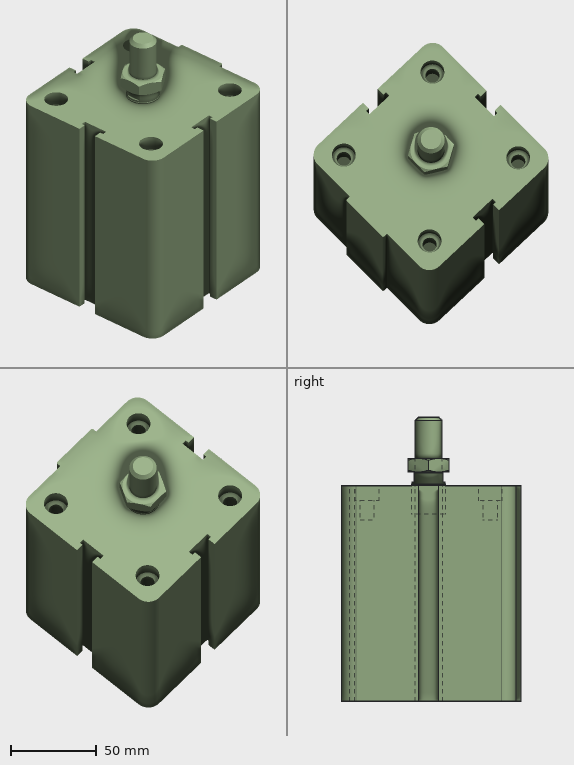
import cadquery as cq
import math

housing_width = 102.0
housing_height = 126.0
corner_radius = 8.5
ridge_width = 31.2
ridge_height = 3.2
ridge_edge_radius = 0.8

slot_mouth_width = 11.8
slot_inner_width = 16.1
slot_lip_depth = 4.8
slot_depth = 7.6
slot_angles = (0, 180, 270)

hole_pitch = 72.0
counterbore_diameter = 14.0
counterbore_depth = 8.6
pilot_diameter = 8.3
pilot_depth = 20.0

overall_height = 166.0
rod_diameter = 20.0
rod_step_height = 1.0
rod_seat_depth = 16.5
neck_diameter = 19.5
neck_height = 8.0
neck_chamfer = 0.5
flat_start = 2.2
flats_width = 17.0
thread_diameter = 16.0
thread_chamfer = 2.0

nut_sides = 6
nut_width = 24.0
nut_height = 8.0
nut_chamfer_angle = 30.0

rod_bottom = housing_height - rod_seat_depth
neck_top = housing_height + neck_height
half_width = housing_width / 2


def cylinder(diameter, bottom, top):
    return cq.Workplane("XY").workplane(offset=bottom).circle(diameter / 2).extrude(top - bottom)


def make_slot(angle):
    """T-slot cut on the +X side, turned about Z by the given angle."""
    mouth = cq.Workplane("XY").center(half_width - slot_lip_depth / 2, 0)
    mouth = mouth.rect(slot_lip_depth, slot_mouth_width).extrude(housing_height)
    inner_depth = slot_depth - slot_lip_depth
    inner = cq.Workplane("XY").center(half_width - slot_depth + inner_depth / 2, 0)
    inner = inner.rect(inner_depth, slot_inner_width).extrude(housing_height)
    return mouth.union(inner).rotate((0, 0, 0), (0, 0, 1), angle)


def make_housing():
    body = cq.Workplane("XY").rect(housing_width, housing_width).extrude(housing_height)
    body = body.edges("|Z").fillet(corner_radius)

    ridge = cq.Workplane("XY").center(0, half_width).rect(ridge_width, 2 * ridge_height)
    ridge = ridge.extrude(housing_height).edges("|Z and >Y").fillet(ridge_edge_radius)
    body = body.union(ridge)

    for angle in slot_angles:
        body = body.cut(make_slot(angle))

    hole_centres = body.faces(">Z").workplane(origin=(0, 0, housing_height))
    hole_centres = hole_centres.rect(hole_pitch, hole_pitch, forConstruction=True).vertices()
    body = hole_centres.cboreHole(pilot_diameter, counterbore_diameter, counterbore_depth, pilot_depth)

    return body.cut(cylinder(rod_diameter, rod_bottom, housing_height))


def make_rod():
    base = cylinder(rod_diameter, rod_bottom, housing_height + rod_step_height)
    step_chamfer = (rod_diameter - neck_diameter) / 2
    base = base.faces(">Z").chamfer(step_chamfer)

    neck = cylinder(neck_diameter, housing_height, neck_top)
    neck = neck.faces(">Z").chamfer(neck_chamfer)

    flats_height = neck_height - flat_start
    blank_width = 2 * rod_diameter
    flats = cq.Workplane("XY").workplane(offset=housing_height + flat_start)
    flats = flats.rect(blank_width, blank_width).rect(blank_width, flats_width).extrude(flats_height)
    neck = neck.cut(flats)

    thread = cylinder(thread_diameter, housing_height, overall_height)
    thread = thread.faces(">Z").chamfer(thread_chamfer)
    return base.union(neck).union(thread)


def make_nut():
    across_corners = nut_width / math.cos(math.pi / nut_sides)
    nut = cq.Workplane("XY").workplane(offset=neck_top).polygon(nut_sides, across_corners).extrude(nut_height)

    cone_width = (across_corners - nut_width) / 2
    cone_height = cone_width * math.tan(math.radians(nut_chamfer_angle))
    turned = cylinder(across_corners, neck_top, neck_top + nut_height)
    turned = turned.faces(">Z").chamfer(cone_height, cone_width)
    turned = turned.faces("<Z").chamfer(cone_height, cone_width)
    nut = nut.intersect(turned)

    return nut.cut(cylinder(thread_diameter, neck_top, neck_top + nut_height))


housing = make_housing()
rod = make_rod()
nut = make_nut()

result = cq.Compound.makeCompound([housing.val(), rod.val(), nut.val()])